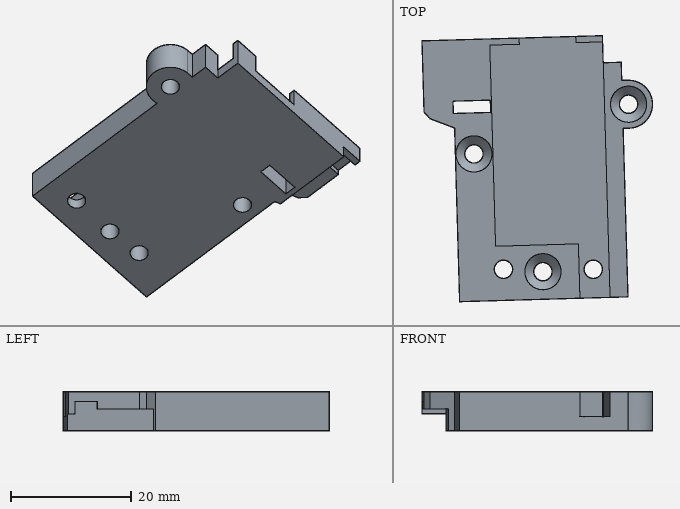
import cadquery as cq

TILT_DEG = 1.65

height = 6.5
body_width = 28.0
body_length = 43.5
rail_width = 3.0
rail_length = 39.0
rail_left = body_width - rail_width

wing_left = -5.0
wing_front = 31.65
wing_corner = (-4.0, 30.5)
wing_root = (0.0, 28.85)
wing_underside = 3.65
wing_body_left = -1.0

lip_bottom = 2.82
lip_thickness = 1.13
groove_width = 3.75
groove_top = 4.84

floor_height = 2.35
pocket_left = 6.25
pocket_front = 9.05
lane_left = 20.0

back_wall_thickness = 1.05
left_wall_end = 11.15
post_left = 20.55

slot_left = -0.1
slot_width = 6.15
slot_front = 31.3
slot_length = 2.0

hole_diameter = 3.0
countersink_diameter = 6.0
countersink_angle = 90.0
boss_radius = 4.0
boss_center = (28.06, 32.8)
boss_root_length = 2.0
countersunk_centers = [(2.4, 24.55), (13.85, 5.0), boss_center]
plain_hole_centers = [(7.3, 5.4), (22.2, 5.4)]


def block(u_range, v_range, z_range):
    """Box in the u, v frame between the given limits."""
    (u0, u1), (v0, v1), (z0, z1) = u_range, v_range, z_range
    return cq.Workplane("XY").box(u1 - u0, v1 - v0, z1 - z0, centered=False).translate((u0, v0, z0))


def make_plate():
    """Full-height plate with the wing on the left and the shorter rail on the right."""
    outline = [
        (0, 0),
        (body_width, 0),
        (body_width, rail_length),
        (rail_left, rail_length),
        (rail_left, body_length),
        (wing_left, body_length),
        (wing_left, wing_front),
        wing_corner,
        wing_root,
    ]
    return cq.Workplane("XY").polyline(outline).close().extrude(height)


def make_wing_relief():
    """Space below the wing: stepped down to a lip at the back and up into a groove."""
    lip_front = body_length - lip_thickness
    groove_front = lip_front - groove_width
    u_range = (wing_left, wing_body_left)
    below_wing = block(u_range, (wing_root[1], lip_front), (0, wing_underside))
    below_lip = block(u_range, (lip_front, body_length), (0, lip_bottom))
    groove = block(u_range, (groove_front, lip_front), (0, groove_top))
    return below_wing.union(below_lip).union(groove)


def make_pocket():
    """Open pocket and front lane, less the two walls left standing at the back."""
    z_range = (floor_height, height)
    back_wall_range = (body_length - back_wall_thickness, body_length)
    pocket = block((pocket_left, rail_left), (pocket_front, body_length), z_range)
    lane = block((lane_left, rail_left), (0, pocket_front), z_range)
    left_wall = block((pocket_left, left_wall_end), back_wall_range, z_range)
    post = block((post_left, rail_left), back_wall_range, z_range)
    return pocket.union(lane).cut(left_wall).cut(post)


def make_slot():
    u_range = (slot_left, slot_left + slot_width)
    v_range = (slot_front, slot_front + slot_length)
    return block(u_range, v_range, (0, height))


def make_boss():
    """Boss with a half-round end and straight flanks that run back into the rail."""
    return (
        cq.Workplane("XY")
        .center(*boss_center)
        .moveTo(-boss_root_length, -boss_radius)
        .lineTo(0, -boss_radius)
        .threePointArc((boss_radius, 0), (0, boss_radius))
        .lineTo(-boss_root_length, boss_radius)
        .close()
        .extrude(height)
    )


def drill_holes(part):
    """Countersunk screw holes from the top face, then the plain through holes."""
    top = cq.Workplane("XY", origin=(0, 0, height))
    screw_holes = (
        part.copyWorkplane(top)
        .pushPoints(countersunk_centers)
        .cskHole(hole_diameter, countersink_diameter, countersink_angle)
    )
    return screw_holes.copyWorkplane(top).pushPoints(plain_hole_centers).hole(hole_diameter)


body = make_plate().cut(make_wing_relief()).cut(make_pocket()).cut(make_slot())
body = body.rotate((0, 0, 0), (0, 0, 1), TILT_DEG)
result = drill_holes(body.union(make_boss()))